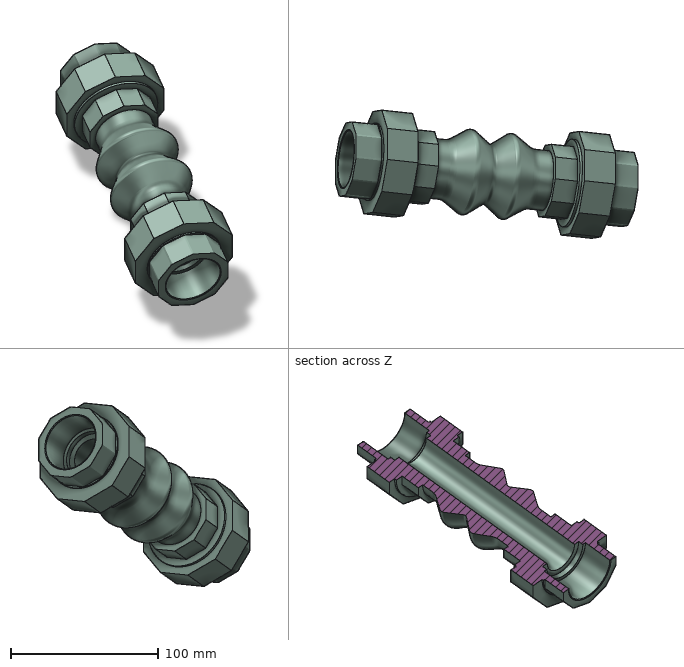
import cadquery as cq

length = 200.0

end_body_stop = 18.0
collar_start = 19.2
collar_stop = 41.0
ring_stop = 42.8
tail_stop = 58.5

sides = 10
end_body_flats = 50.2
end_body_corners = 52.5
collar_flats = 70.0
tail_flats = 49.0

front_ring_diameter = 53.0
back_ring_diameter = 60.0

root_diameter = 41.0
bend_start = 68.0
bend_stop, bend_diameter = 72.8, 43.8
crest_start, crest_start_diameter = 83.8, 57.8
crest_stop, crest_stop_diameter = 88.0, 57.0
valley_start, valley_diameter = 98.5, 42.0

socket_diameter = 39.0
mouth_diameter = 40.5
mouth_depth = 0.5
socket_depth = 24.0
seat_diameter = 34.0
seat_depth = 28.0
passage_diameter = 26.0


def disc(start, stop, diameter):
    return cq.Workplane("YZ", origin=(start, 0, 0)).circle(diameter / 2).extrude(stop - start)


def decagon(start, stop, flats):
    """Ten-sided prism along X with one pair of corners on the Z axis."""
    return (
        cq.Workplane("YZ", origin=(start, 0, 0))
        .polygon(sides, flats, circumscribed=True)
        .extrude(stop - start)
    )


def fitting():
    end_body = decagon(0, end_body_stop, end_body_flats)
    end_body = end_body.intersect(disc(0, end_body_stop, end_body_corners))
    return (
        end_body.union(disc(end_body_stop, collar_start, front_ring_diameter))
        .union(decagon(collar_start, collar_stop, collar_flats))
        .union(disc(collar_stop, ring_stop, back_ring_diameter))
        .union(decagon(ring_stop, tail_stop, tail_flats))
    )


def bellows():
    """Tube with two crests; every cone runs tangentially into its neighbouring rounds."""
    return (
        cq.Workplane("XY")
        .moveTo(tail_stop, 0)
        .lineTo(tail_stop, root_diameter / 2)
        .lineTo(bend_start, root_diameter / 2)
        .tangentArcPoint((bend_stop, bend_diameter / 2), relative=False)
        .lineTo(crest_start, crest_start_diameter / 2)
        .tangentArcPoint((crest_stop, crest_stop_diameter / 2), relative=False)
        .lineTo(valley_start, valley_diameter / 2)
        .tangentArcPoint((length - valley_start, valley_diameter / 2), relative=False)
        .lineTo(length - crest_stop, crest_stop_diameter / 2)
        .tangentArcPoint((length - crest_start, crest_start_diameter / 2), relative=False)
        .lineTo(length - bend_stop, bend_diameter / 2)
        .tangentArcPoint((length - bend_start, root_diameter / 2), relative=False)
        .lineTo(length - tail_stop, root_diameter / 2)
        .lineTo(length - tail_stop, 0)
        .close()
        .revolve(360, (0, 0, 0), (1, 0, 0))
    )


def end_bore():
    """Socket with a chamfered mouth, then the seat step, entering from X = 0."""
    return (
        cq.Workplane("XY")
        .polyline(
            [
                (0, 0),
                (0, mouth_diameter / 2),
                (mouth_depth, socket_diameter / 2),
                (socket_depth, socket_diameter / 2),
                (socket_depth, seat_diameter / 2),
                (seat_depth, seat_diameter / 2),
                (seat_depth, 0),
            ]
        )
        .close()
        .revolve(360, (0, 0, 0), (1, 0, 0))
    )


def at_both_ends(shape):
    return shape.union(shape.mirror("YZ", (length / 2, 0, 0)))


result = bellows().union(at_both_ends(fitting()))
result = result.cut(disc(0, length, passage_diameter))
result = result.cut(at_both_ends(end_bore()))
result = result.translate((-length / 2, 0, 0))